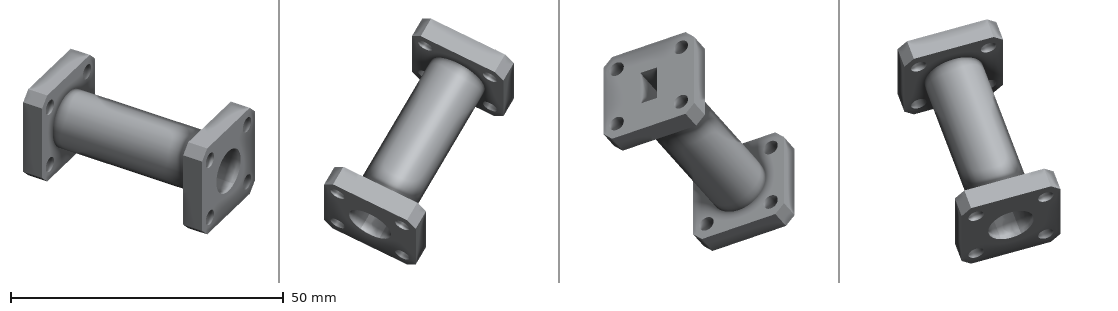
import cadquery as cq
import math

length = 38.1
flange_side = 19.05
flange_thickness = 4.05
corner_chamfer = 1.83
tube_diameter = 11.35

bore_width = 3.55
bore_height = 7.12
bore_end_diameter = 8.75

bolt_hole_diameter = 2.97
bolt_spacing_y = 13.45
bolt_spacing_z = 12.7


def make_flange(start_x):
    """Square flange with chamfered corners and four bolt holes, extending toward +X."""
    plate = (
        cq.Workplane("YZ", origin=(start_x, 0, 0))
        .rect(flange_side, flange_side)
        .extrude(flange_thickness)
        .edges("|X")
        .chamfer(corner_chamfer)
    )
    bolt_holes = (
        cq.Workplane("YZ", origin=(start_x, 0, 0))
        .rect(bolt_spacing_y, bolt_spacing_z, forConstruction=True)
        .vertices()
        .circle(bolt_hole_diameter / 2)
        .extrude(flange_thickness)
    )
    return plate.cut(bolt_holes)


def make_bore(start_x):
    """Rectangle-to-circle transition, with each rectangle side leading to one arc of the circle."""
    half_width = bore_width / 2
    half_height = bore_height / 2
    radius = bore_end_diameter / 2
    corner_scale = radius / math.hypot(half_width, half_height)
    arc_y = half_width * corner_scale
    arc_z = half_height * corner_scale
    return (
        cq.Workplane("YZ", origin=(start_x, 0, 0))
        .moveTo(half_width, half_height)
        .lineTo(-half_width, half_height)
        .lineTo(-half_width, -half_height)
        .lineTo(half_width, -half_height)
        .close()
        .workplane(offset=length)
        .moveTo(arc_y, arc_z)
        .threePointArc((0, radius), (-arc_y, arc_z))
        .threePointArc((-radius, 0), (-arc_y, -arc_z))
        .threePointArc((0, -radius), (arc_y, -arc_z))
        .threePointArc((radius, 0), (arc_y, arc_z))
        .close()
        .loft(ruled=True)
    )


left_end = -length / 2
right_flange_start = length / 2 - flange_thickness

tube = (
    cq.Workplane("YZ", origin=(left_end, 0, 0))
    .circle(tube_diameter / 2)
    .extrude(length)
)

result = (
    tube.union(make_flange(left_end))
    .union(make_flange(right_flange_start))
    .cut(make_bore(left_end))
)